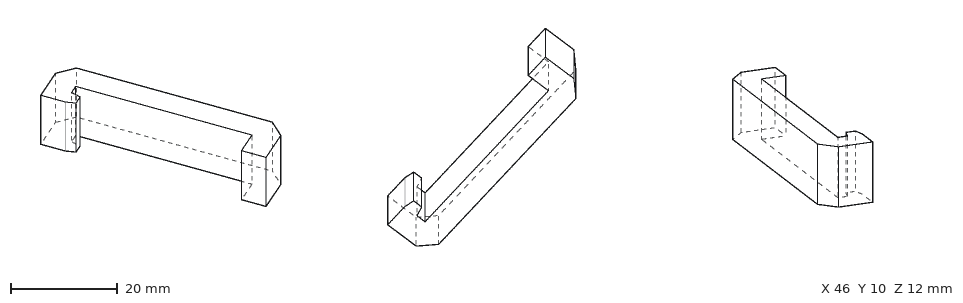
import cadquery as cq

length = 46.0
depth = 10.0
height = 12.0

wall = 5.0
corner_chamfer = 3.0

hook_reach = 2.0
hook_width = 3.0
hook_taper = 0.5

half_length = length / 2
inner_half = half_length - wall
inner_back = depth - wall
bevel_start_x = half_length - corner_chamfer
bevel_start_y = depth - corner_chamfer
hook_tip_x = -inner_half + hook_reach

profile = [
    (-half_length, 0),
    (-inner_half, 0),
    (hook_tip_x, hook_taper),
    (hook_tip_x, hook_width - hook_taper),
    (-inner_half, hook_width),
    (-inner_half, inner_back),
    (inner_half, inner_back),
    (inner_half, 0),
    (half_length, 0),
    (half_length, bevel_start_y),
    (bevel_start_x, depth),
    (-bevel_start_x, depth),
    (-half_length, bevel_start_y),
]

result = cq.Workplane("XY").polyline(profile).close().extrude(height)